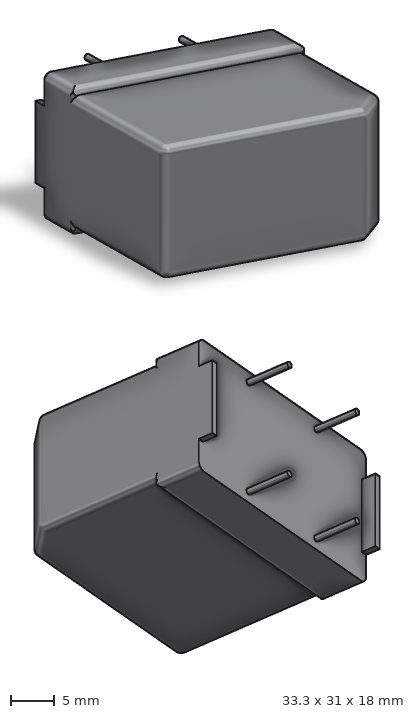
import cadquery as cq

total_length = 33.3
width = 31.0
flange_height = 18.0
body_height = 16.2

pin_length = 6
pin_diameter = 0.8
pin_spacing_y = 12.52
pin_spacing_z = 15

tab_length = 2
tab_thickness = 0.8
tab_height = 10

flange_length = 6.5
corner_chamfer = 4
edge_radius = 1
flange_side_radius = 0.5

base_x = pin_length
body_length = total_length - pin_length


def block(length, height):
    """A full-width block standing on the base plane and centred on the X axis."""
    return cq.Workplane("XY").box(length, width, height, centered=(False, True, True)).translate((base_x, 0, 0))


def make_body():
    """The main housing, with one bevelled rear corner and rounded edges."""
    body = block(body_length, body_height)
    body = body.edges("|Z and >X and >Y").chamfer(corner_chamfer)
    return body.edges("not <X").fillet(edge_radius)


def make_flange():
    """The taller front collar: the overlap of blocks rounded along X, Y and Z in turn."""
    blank = block(flange_length, flange_height)
    long_rounding = blank.edges("|X").fillet(edge_radius)
    step_rounding = blank.edges("|Y and >X").fillet(edge_radius)
    side_rounding = blank.edges("|Z and >X").fillet(flange_side_radius)
    return long_rounding.intersect(step_rounding).intersect(side_rounding)


def make_tabs():
    """Two flat tabs projecting from the base, flush with the sides."""
    tab = cq.Workplane("XY").box(tab_length, tab_thickness, tab_height, centered=(False, True, True))
    offset = (width - tab_thickness) / 2
    return [tab.translate((base_x - tab_length, side * offset, 0)) for side in (-1, 1)]


def make_pins():
    """Four round terminal pins in a rectangular pattern."""
    return (
        cq.Workplane("YZ")
        .rarray(pin_spacing_y, pin_spacing_z, 2, 2)
        .circle(pin_diameter / 2)
        .extrude(pin_length)
    )


result = make_body().union(make_flange())
for tab in make_tabs():
    result = result.union(tab)
result = result.union(make_pins())